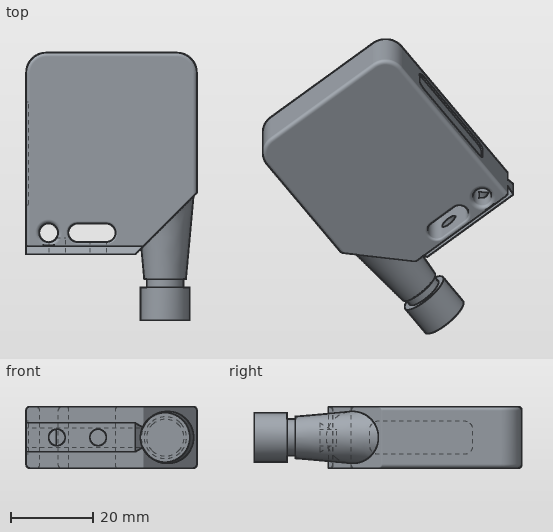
import cadquery as cq
import math

width = 41.5
length = 47.0
height = 15.0
mid_height = height / 2
corner_radius = 5.0
edge_radius = 1.0
bevel = 13.0
bevel_start = width - bevel
front_edge_radius = 0.3

rail_depth = 2.0
rail_tip_width = 7.0
rail_flank_angle = 30.0
rail_root_y = front_edge_radius

front_hole_diameter = 4.0
front_hole_first_x = 7.5
front_hole_spacing = 10.0
front_hole_depth = 4.0

mount_y = 3.25
mount_diameter = 4.5
mount_x = 5.5
mount_rim_radius = 1.0
slot_center_x = 16.0
slot_length = 11.4
slot_width = 4.4
slot_rim_radius = 0.6

label_length = 25.0
label_height = 8.0
label_radius = 2.0
label_depth = 0.5
label_center_y = 22.5

connector_x = 33.75
connector_end_y = length - 65.0
plug_radius = 6.0
plug_length = 8.0
neck_radius = 4.5
neck_length = 2.0
cone_tip_radius = 5.1
cone_half_angle = 5.2
cone_base_y = bevel


def make_housing():
    outline = [(0, 0), (bevel_start, 0), (width, bevel), (width, length), (0, length)]
    body = cq.Workplane("XY").polyline(outline).close().extrude(height)
    body = body.edges("|Z and >Y").fillet(corner_radius)
    rounded_sides = body.faces("<X or >X or >Y").edges("<Z or >Z")
    body = rounded_sides.fillet(edge_radius)
    return body.faces("<Y or >(1, -1, 0)").edges().fillet(front_edge_radius)


def make_rail():
    half_tip = rail_tip_width / 2
    half_root = half_tip - (rail_root_y + rail_depth) * math.tan(math.radians(rail_flank_angle))
    profile = [
        (rail_root_y, mid_height - half_root),
        (-rail_depth, mid_height - half_tip),
        (-rail_depth, mid_height + half_tip),
        (rail_root_y, mid_height + half_root),
    ]
    rail = cq.Workplane("YZ").polyline(profile).close().extrude(bevel_start)
    end_cut = (
        cq.Workplane("XY")
        .polyline([(bevel_start, 0), (bevel_start, -rail_depth), (bevel_start - rail_depth, -rail_depth)])
        .close()
        .extrude(height)
    )
    return rail.cut(end_cut)


def make_connector():
    neck_start_y = connector_end_y + plug_length
    cone_tip_y = neck_start_y + neck_length
    cone_length = cone_base_y - cone_tip_y
    cone_base_radius = cone_tip_radius + cone_length * math.tan(math.radians(cone_half_angle))
    half_section = [
        (0, connector_end_y),
        (-plug_radius, connector_end_y),
        (-plug_radius, neck_start_y),
        (-neck_radius, neck_start_y),
        (-neck_radius, cone_tip_y),
        (-cone_tip_radius, cone_tip_y),
        (-cone_base_radius, cone_base_y),
        (0, cone_base_y),
    ]
    turned = cq.Workplane("XY").polyline(half_section).close().revolve(360, (0, 0), (0, 1))
    return turned.translate((connector_x, 0, mid_height))


def rounded_cutter(opening, rim_radius):
    """Through cutter for the sketched opening, flaring out to rounded rims at both faces."""
    cutter = opening.extrude(height)
    block = cq.Workplane("XY").box(width, length, height, centered=(True, True, False))
    opening_region = cq.selectors.BoxSelector(
        (-slot_length, -slot_length, -1), (slot_length, slot_length, height + 1)
    )
    rims = block.cut(cutter).edges(opening_region).edges("<Z or >Z")
    return block.cut(rims.fillet(rim_radius))


def mount_hole_cutter():
    opening = cq.Workplane("XY").circle(mount_diameter / 2)
    return rounded_cutter(opening, mount_rim_radius).translate((mount_x, mount_y, 0))


def slot_cutter():
    opening = cq.Workplane("XY").slot2D(slot_length, slot_width)
    return rounded_cutter(opening, slot_rim_radius).translate((slot_center_x, mount_y, 0))


def front_hole_cutter(center_x):
    start = cq.Workplane("XZ", origin=(center_x, -rail_depth, mid_height))
    return start.circle(front_hole_diameter / 2).extrude(-front_hole_depth)


def label_cutter():
    start = cq.Workplane("YZ", origin=(0, label_center_y, mid_height))
    return start.rect(label_length, label_height).extrude(label_depth).edges("|X").fillet(label_radius)


result = make_housing().union(make_rail()).union(make_connector())
result = result.cut(mount_hole_cutter()).cut(slot_cutter())
for hole_index in range(2):
    result = result.cut(front_hole_cutter(front_hole_first_x + hole_index * front_hole_spacing))
result = result.cut(label_cutter())